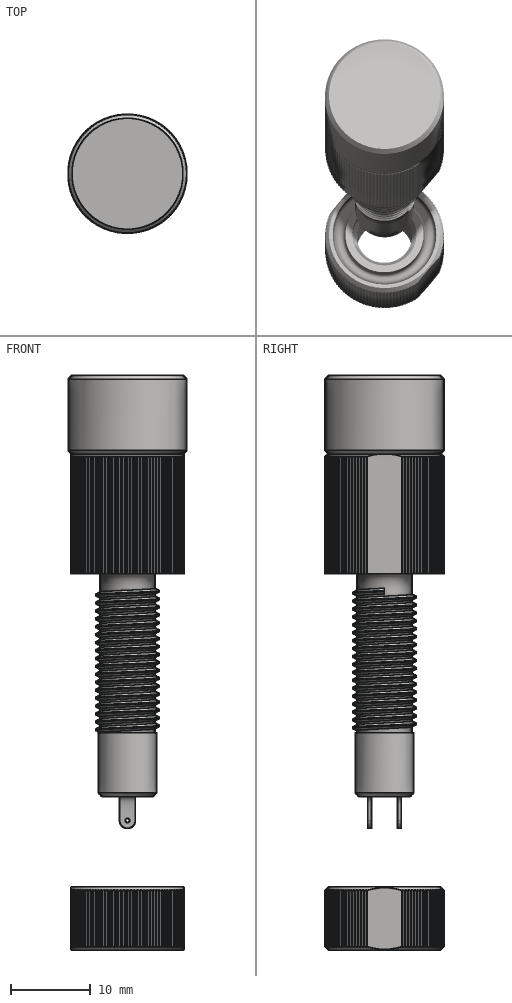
import cadquery as cq
import math

GRIP_DIAMETER = 15.0
FLAT_TO_FLAT = 14.25
KNURL_TEETH = 110
KNURL_DEPTH = 0.09
EDGE_CHAMFER = 0.5

CAP_HEIGHT = 10.0
COLLAR_HEIGHT = 15.0
COLLAR_CHAMFER = 0.3

STEM_LENGTH = 20.0
NECK_LENGTH = 1.8
THREAD_DIAMETER = 8.0
THREAD_ROOT_DIAMETER = 6.95
THREAD_TURNS = 17.5
THREAD_RIDGE_BASE = 0.8
THREAD_RIDGE_CREST = 0.15
THREAD_OVERLAP = 0.1
THREAD_START_ANGLE = 180
THREAD_PITCH = (STEM_LENGTH - NECK_LENGTH - THREAD_RIDGE_BASE) / THREAD_TURNS

TIP_DIAMETER = 7.4
TIP_LENGTH = 8.0

PIN_WIDTH = 2.0
PIN_THICKNESS = 0.5
PIN_LENGTH = 4.0
PIN_SPACING = 3.75
PIN_HOLE_DIAMETER = 0.5

NUT_HEIGHT = 8.0
NUT_GAP = 7.3
NUT_BOSS_DIAMETER = 9.8
NUT_RECESS_DIAMETER = 13.0
NUT_RECESS_DEPTH = 1.0
NUT_RECESS_FILLET = 0.35

TIP_TOP = -STEM_LENGTH
TIP_BOTTOM = TIP_TOP - TIP_LENGTH
PIN_BOTTOM = TIP_BOTTOM - PIN_LENGTH
NUT_TOP = PIN_BOTTOM - NUT_GAP
NUT_BOTTOM = NUT_TOP - NUT_HEIGHT


def cylinder(diameter, bottom, height):
    return cq.Workplane("XY").workplane(offset=bottom).circle(diameter / 2).extrude(height)


def knurled_grip(bottom, height):
    """Cylinder with straight V-shaped knurling and a flat on its -X and +X sides."""
    crest_radius = GRIP_DIAMETER / 2
    root_radius = crest_radius - KNURL_DEPTH
    outline = []
    for step in range(2 * KNURL_TEETH):
        angle = math.pi * step / KNURL_TEETH
        radius = root_radius if step % 2 else crest_radius
        outline.append((radius * math.cos(angle), radius * math.sin(angle)))
    knurled = cq.Workplane("XY").workplane(offset=bottom).polyline(outline).close().extrude(height)
    flats = (
        cq.Workplane("XY").workplane(offset=bottom).rect(FLAT_TO_FLAT, 2 * GRIP_DIAMETER).extrude(height)
    )
    return knurled.intersect(flats)


def thread_ridge(base_diameter, crest_diameter, bottom, top):
    """Helical ridge between two levels, rooted in a wall and narrowing to its crest.

    The crest lies outside the base on a stem and inside it in a bore.
    """
    outward = 1 if crest_diameter > base_diameter else -1
    base_radius = base_diameter / 2 - outward * THREAD_OVERLAP
    crest_radius = crest_diameter / 2
    half_base = THREAD_RIDGE_BASE / 2
    half_crest = THREAD_RIDGE_CREST / 2
    start = bottom + half_base
    travel = top - bottom - THREAD_RIDGE_BASE
    helix = cq.Wire.makeHelix(THREAD_PITCH, travel, base_radius, center=cq.Vector(0, 0, start))
    profile = (
        cq.Workplane("XZ")
        .moveTo(base_radius, start - half_base)
        .lineTo(crest_radius, start - half_crest)
        .lineTo(crest_radius, start + half_crest)
        .lineTo(base_radius, start + half_base)
        .close()
    )
    ridge = profile.sweep(cq.Workplane(helix), isFrenet=True)
    return ridge.rotate((0, 0, 0), (0, 0, 1), THREAD_START_ANGLE)


def make_cap():
    return cylinder(GRIP_DIAMETER, COLLAR_HEIGHT, CAP_HEIGHT).edges().chamfer(EDGE_CHAMFER)


def make_housing():
    """Knurled collar and threaded stem turned from one piece."""
    envelope = cylinder(GRIP_DIAMETER, 0, COLLAR_HEIGHT).faces(">Z").edges().chamfer(COLLAR_CHAMFER)
    collar = knurled_grip(0, COLLAR_HEIGHT).intersect(envelope)
    stem = cylinder(THREAD_ROOT_DIAMETER, TIP_TOP, STEM_LENGTH)
    ridge = thread_ridge(THREAD_ROOT_DIAMETER, THREAD_DIAMETER, TIP_TOP, -NECK_LENGTH)
    return collar.union(stem.union(ridge))


def make_tip():
    return cylinder(TIP_DIAMETER, TIP_BOTTOM, TIP_LENGTH).faces("<Z").edges().chamfer(EDGE_CHAMFER)


def make_pin(center_y):
    """Flat solder lug with a round end and an eyelet at the centre of the round."""
    half_width = PIN_WIDTH / 2
    eyelet_level = PIN_BOTTOM + half_width
    lug = (
        cq.Workplane("XZ", origin=(0, center_y, 0))
        .moveTo(-half_width, TIP_BOTTOM)
        .lineTo(-half_width, eyelet_level)
        .threePointArc((0, PIN_BOTTOM), (half_width, eyelet_level))
        .lineTo(half_width, TIP_BOTTOM)
        .close()
        .extrude(PIN_THICKNESS / 2, both=True)
    )
    eyelet = (
        cq.Workplane("XZ", origin=(0, center_y, eyelet_level))
        .circle(PIN_HOLE_DIAMETER / 2)
        .extrude(PIN_THICKNESS, both=True)
    )
    return lug.cut(eyelet)


def make_nut():
    """Knurled nut with a ring-shaped recess around its threaded boss."""
    envelope = cylinder(GRIP_DIAMETER, NUT_BOTTOM, NUT_HEIGHT).edges().chamfer(EDGE_CHAMFER)
    nut = knurled_grip(NUT_BOTTOM, NUT_HEIGHT).intersect(envelope)
    recess_floor = NUT_TOP - NUT_RECESS_DEPTH
    recess = cylinder(NUT_RECESS_DIAMETER, recess_floor, NUT_RECESS_DEPTH).cut(
        cylinder(NUT_BOSS_DIAMETER, recess_floor, NUT_RECESS_DEPTH)
    )
    recess = recess.faces("<Z").edges().fillet(NUT_RECESS_FILLET)
    bore = cylinder(THREAD_DIAMETER, NUT_BOTTOM, NUT_HEIGHT)
    ridge = thread_ridge(THREAD_DIAMETER, THREAD_ROOT_DIAMETER, NUT_BOTTOM, NUT_TOP)
    return nut.cut(recess).cut(bore).union(ridge)


cap = make_cap()
housing = make_housing()
tip = make_tip()
pins = [make_pin(side * PIN_SPACING / 2) for side in (-1, 1)]
nut = make_nut()

result = cq.Compound.makeCompound(
    [
        cap.solids().val(),
        housing.solids().val(),
        tip.solids().val(),
        *[pin.solids().val() for pin in pins],
        nut.solids().val(),
    ]
)